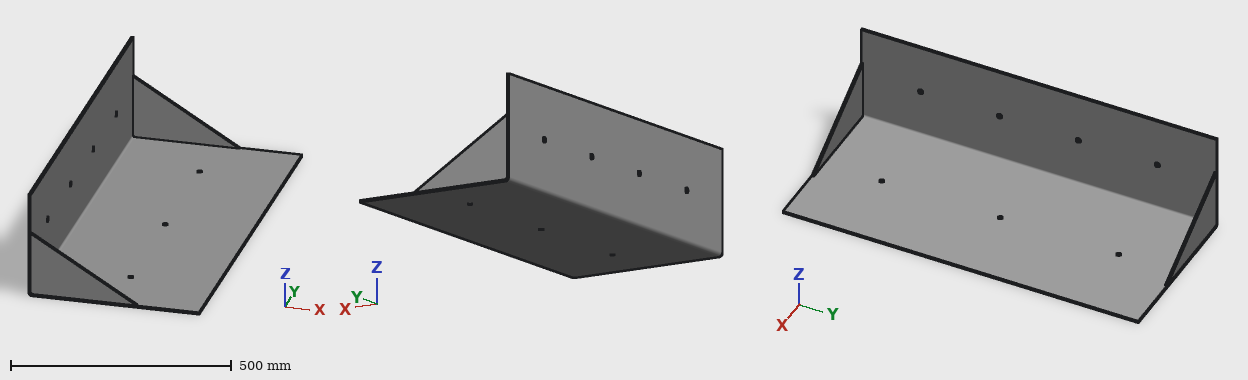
import cadquery as cq

length = 900.0
base_width = 400.0
wall_height = 250.0
thickness = 5.0
inner_bend_radius = 5.0
outer_bend_radius = inner_bend_radius + thickness

gusset_width = 249.0
gusset_height = 150.0
gusset_thickness = 5.0

base_hole_diameter = 10.0
base_hole_count = 3
base_hole_pitch = length / base_hole_count
wall_hole_diameter = 12.0
wall_hole_count = 4
wall_hole_pitch = 200.0


def make_angle_plate():
    """Bent sheet with its outer corner along the Y axis, centred on Y = 0."""
    plate = (
        cq.Workplane("XZ")
        .polyline([
            (0, 0),
            (base_width, 0),
            (base_width, thickness),
            (thickness, thickness),
            (thickness, wall_height),
            (0, wall_height),
        ])
        .close()
        .extrude(length / 2, both=True)
    )
    inner_corner = cq.selectors.NearestToPointSelector((thickness, 0, thickness))
    plate = plate.edges(inner_corner).fillet(inner_bend_radius)
    outer_corner = cq.selectors.NearestToPointSelector((0, 0, 0))
    plate = plate.edges(outer_corner).fillet(outer_bend_radius)

    base_holes = (
        cq.Workplane("XY")
        .center(base_width / 2, 0)
        .rarray(9, base_hole_pitch, 1, base_hole_count)
        .circle(base_hole_diameter / 2)
        .extrude(thickness)
    )
    wall_holes = (
        cq.Workplane("YZ")
        .center(0, wall_height / 2)
        .rarray(wall_hole_pitch, 9, wall_hole_count, 1)
        .circle(wall_hole_diameter / 2)
        .extrude(thickness)
    )
    return plate.cut(base_holes).cut(wall_holes)


def make_gusset(y_start):
    """Triangular end rib whose rounded corner seats in the inner bend."""
    gusset = (
        cq.Workplane("XZ", origin=(thickness, y_start, thickness))
        .polyline([(0, 0), (gusset_width, 0), (0, gusset_height)])
        .close()
        .extrude(-gusset_thickness)
    )
    corner = cq.selectors.NearestToPointSelector(
        (thickness, y_start + gusset_thickness / 2, thickness)
    )
    return gusset.edges(corner).fillet(inner_bend_radius)


angle_plate = make_angle_plate()

gusset_starts = [-length / 2, length / 2 - gusset_thickness]
gussets = [make_gusset(y_start) for y_start in gusset_starts]

result = cq.Compound.makeCompound([
    angle_plate.solids().val(),
    *[gusset.solids().val() for gusset in gussets],
])